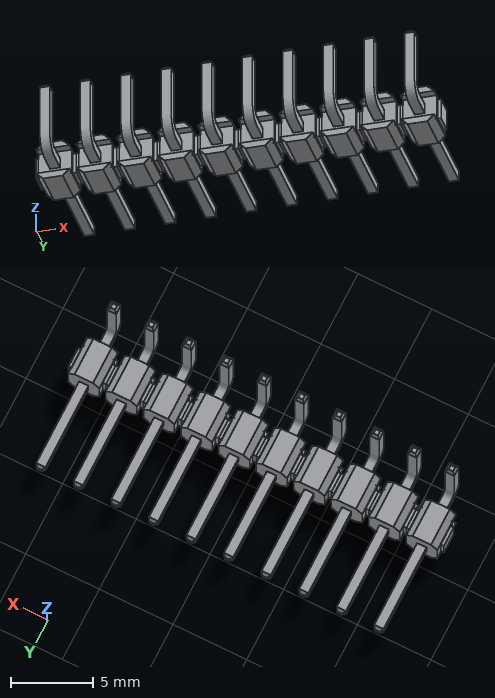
import cadquery as cq

position_count = 10
pitch = 2.55

body_width = 2.1
body_height = 2.55
body_length = 2.55
corner_chamfer = 0.43
recess_depth = 0.53
mid_height = body_height - 2 * corner_chamfer

bridge_length = 1.32
bridge_height = 1.37
bridge_rear_gap = 0.45

pin_size = 0.64
pin_axis_z = body_height / 2
bend_outer_radius = 1.07
pin_front_reach = 1.83
pin_rear_reach = 6.0
pin_top_z = 5.54
tip_length = 0.2
tip_size = 0.3

bend_inner_radius = bend_outer_radius - pin_size
pin_front_y = -pin_front_reach
bend_center_y = pin_front_y + bend_outer_radius
bend_center_z = pin_axis_z - pin_size / 2 + bend_outer_radius
upright_axis_y = pin_front_y + pin_size / 2
rear_shoulder_y = body_length + pin_rear_reach - tip_length
top_shoulder_z = pin_top_z - tip_length


def make_insulator():
    """Octagonal block with a recessed front face between its two lips."""
    block = (
        cq.Workplane("XY")
        .box(body_width, body_length, body_height, centered=(True, False, False))
        .edges("|Y")
        .chamfer(corner_chamfer)
    )
    recess = (
        cq.Workplane("XY")
        .box(body_width, recess_depth, mid_height, centered=(True, False, False))
        .translate((0, 0, corner_chamfer))
    )
    return block.cut(recess)


def make_bridge():
    """Bar one pitch wide that meets the bridges of the neighbours."""
    return (
        cq.Workplane("XY")
        .box(pitch, bridge_length, bridge_height, centered=(True, False, True))
        .translate((0, body_length - bridge_rear_gap - bridge_length, body_height / 2))
    )


def make_tip(plane):
    """Short square taper standing on the given plane at a pin end."""
    return (
        cq.Workplane(plane)
        .rect(pin_size, pin_size)
        .workplane(offset=tip_length)
        .rect(tip_size, tip_size)
        .loft(ruled=True)
    )


def make_pin():
    """Square wire swept along Y, a quarter bend, then Z, with tapered ends."""
    path = (
        cq.Workplane("YZ")
        .moveTo(rear_shoulder_y, pin_axis_z)
        .lineTo(bend_center_y, pin_axis_z)
        .radiusArc((upright_axis_y, bend_center_z), bend_inner_radius + pin_size / 2)
        .lineTo(upright_axis_y, top_shoulder_z)
    )
    rear_plane = cq.Plane(origin=(0, rear_shoulder_y, pin_axis_z), xDir=(1, 0, 0), normal=(0, 1, 0))
    top_plane = cq.Plane(origin=(0, upright_axis_y, top_shoulder_z), xDir=(1, 0, 0), normal=(0, 0, 1))
    wire = cq.Workplane(rear_plane).rect(pin_size, pin_size).sweep(path)
    return wire.union(make_tip(rear_plane)).union(make_tip(top_plane))


def make_position(x):
    """One header position: insulator, bridge and pin as a single solid."""
    position = make_insulator().union(make_bridge()).union(make_pin())
    return position.translate((x, 0, 0)).solids()


first_x = -pitch * (position_count - 1) / 2
positions = [make_position(first_x + index * pitch) for index in range(position_count)]

result = cq.Compound.makeCompound([position.val() for position in positions])